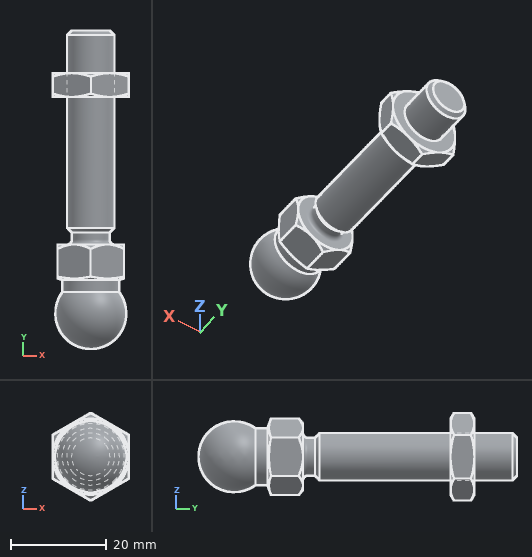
import cadquery as cq
import math

ball_radius = 7.5
total_length = 67.0

collar_radius = 6.0
hex_width = 14.0
hex_start = 7.0
hex_end = 14.5
hex_ball_side_angle = 20.0
hex_shank_side_angle = 40.0

groove_radius = 4.0
groove_fillet = 1.0
shank_radius = 5.0
shank_start = 17.0
shank_chamfer = 1.0

nut_width = 16.0
nut_thickness = 5.0
nut_tip_distance = 9.0
nut_chamfer_angle = 30.0

corner_turn = 30.0

stud_tip = total_length - ball_radius
nut_end = stud_tip - nut_tip_distance
nut_start = nut_end - nut_thickness
collar_start = math.sqrt(ball_radius**2 - collar_radius**2)


def revolve_about_axis(profile):
    """Revolve a closed XY profile about the Y axis."""
    return profile.close().revolve(360, (0, 0, 0), (0, 1, 0))


def chamfered_hexagon(width, start, end, start_radius, start_angle, end_radius, end_angle):
    """Hexagonal prism along Y, two corners on Z, with conical chamfers on both end faces."""
    corner_radius = width / math.sqrt(3)
    prism = (
        cq.Workplane("XZ", origin=(0, start, 0))
        .polygon(6, 2 * corner_radius)
        .extrude(start - end)
        .rotate((0, 0, 0), (0, 1, 0), corner_turn)
    )
    start_drop = (corner_radius - start_radius) * math.tan(math.radians(start_angle))
    end_drop = (corner_radius - end_radius) * math.tan(math.radians(end_angle))
    envelope = revolve_about_axis(
        cq.Workplane("XY")
        .moveTo(0, start)
        .lineTo(start_radius, start)
        .lineTo(corner_radius, start + start_drop)
        .lineTo(corner_radius, end - end_drop)
        .lineTo(end_radius, end)
        .lineTo(0, end)
    )
    return prism.intersect(envelope)


def make_ball_stud():
    """Ball, collar, hexagon, relief groove and shank as one turned body."""
    ball_and_collar = revolve_about_axis(
        cq.Workplane("XY")
        .moveTo(0, -ball_radius)
        .threePointArc((ball_radius, 0), (collar_radius, collar_start))
        .lineTo(collar_radius, hex_start)
        .lineTo(0, hex_start)
    )
    hexagon = chamfered_hexagon(
        hex_width,
        hex_start,
        hex_end,
        collar_radius,
        hex_ball_side_angle,
        hex_width / 2,
        hex_shank_side_angle,
    )
    shank = revolve_about_axis(
        cq.Workplane("XY")
        .moveTo(0, hex_end)
        .lineTo(groove_radius + groove_fillet, hex_end)
        .radiusArc((groove_radius, hex_end + groove_fillet), groove_fillet)
        .lineTo(groove_radius, shank_start)
        .lineTo(shank_radius, shank_start + shank_chamfer)
        .lineTo(shank_radius, stud_tip - shank_chamfer)
        .lineTo(shank_radius - shank_chamfer, stud_tip)
        .lineTo(0, stud_tip)
    )
    return ball_and_collar.union(hexagon).union(shank)


def make_lock_nut():
    """Hexagon nut whose bore fits the shank."""
    blank = chamfered_hexagon(
        nut_width,
        nut_start,
        nut_end,
        nut_width / 2,
        nut_chamfer_angle,
        nut_width / 2,
        nut_chamfer_angle,
    )
    bore = cq.Workplane("XZ", origin=(0, nut_start, 0)).circle(shank_radius).extrude(-nut_thickness)
    return blank.cut(bore)


ball_stud = make_ball_stud()
lock_nut = make_lock_nut()

result = cq.Compound.makeCompound([ball_stud.val(), lock_nut.val()])